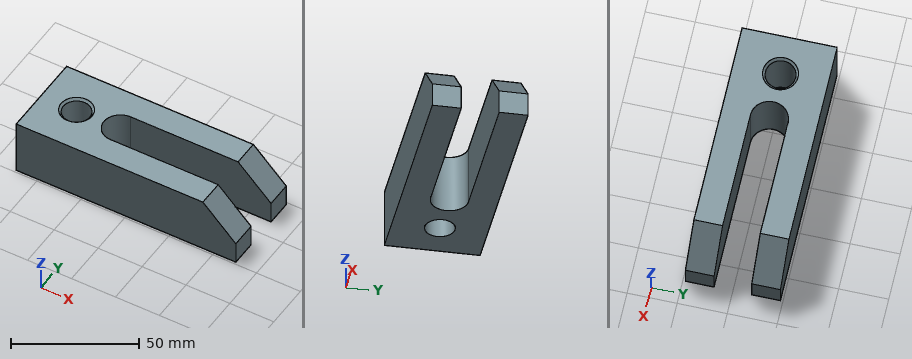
import cadquery as cq

length = 100.0
width = 38.0
height = 25.0
nose_bevel = 15.0

slot_width = 15.0
slot_end_x = 28.5

hole_diameter = 12.0
hole_x = 16.0
mouth_diameter = 14.0
mouth_depth = (mouth_diameter - hole_diameter) / 2


def make_body():
    """Rectangular bar, centred on Y, with its upper nose edge bevelled."""
    bar = cq.Workplane("XY").box(length, width, height, centered=(False, True, False))
    return bar.edges(">X and >Z").chamfer(nose_bevel)


def make_slot():
    """Cutter for the slot, running from its round end out through the nose."""
    radius = slot_width / 2
    arc_x = slot_end_x + radius
    return (
        cq.Workplane("XY")
        .moveTo(length, -radius)
        .lineTo(arc_x, -radius)
        .threePointArc((slot_end_x, 0), (arc_x, radius))
        .lineTo(length, radius)
        .close()
        .extrude(height)
    )


def make_hole():
    """Cutter for the through hole and its 45 degree mouth."""
    bore = cq.Workplane("XY").center(hole_x, 0).circle(hole_diameter / 2).extrude(height)
    mouth = (
        cq.Workplane("XY", origin=(hole_x, 0, height))
        .circle(mouth_diameter / 2)
        .workplane(offset=-mouth_depth)
        .circle(hole_diameter / 2)
        .loft()
    )
    return bore.union(mouth)


result = make_body().cut(make_slot()).cut(make_hole())